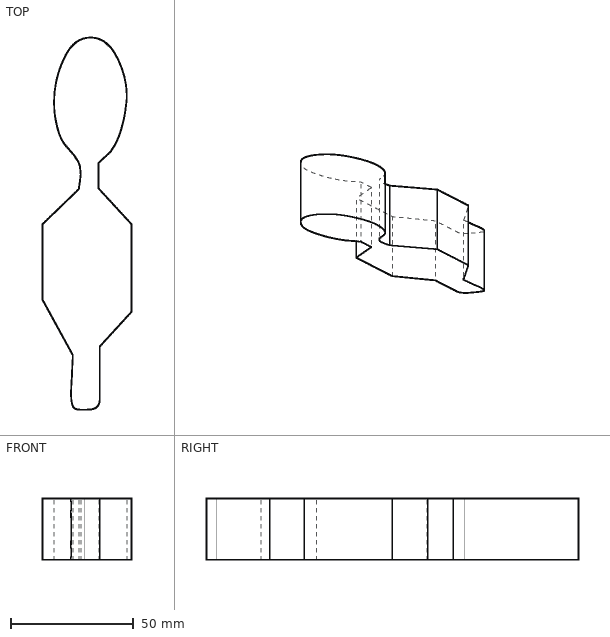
import cadquery as cq

width = 36.2
length = 151.44
thickness = 25.0

half_width = width / 2
head_tip_y = length / 2
tail_end_y = -length / 2

flank_top_y = -0.2
left_flank_bottom_y = -31.0
right_flank_bottom_y = -35.9

neck_left_x = -2.95
neck_right_x = 4.75
neck_left_base = (-3.4, 14.0)
neck_right_base = (neck_right_x, 14.3)
neck_left_points = [(-3.55, 25.1), (neck_left_x, 23.4), (neck_left_x, 16.3)]
neck_right_top = (neck_right_x, 24.7)

head_tip = (1.4, head_tip_y)
head_right_shoulder = (9.6, 29.2)
head_right_points = [(13.05, 35.6), (15.1, 42.9), (16.2, 51.1), (12.5, 67.1), (6.6, 74.3)]
head_left_points = [(-4.0, 74.1), (-9.5, 66.9), (-13.45, 49.0), (-12.3, 39.7), (-9.6, 32.9)]

tail_right_x = 5.2
tail_left_top = (-5.8, -53.5)
tail_right_top = (tail_right_x, -50.0)
tail_right_bottom = (tail_right_x, -71.7)
tail_end = (-1.1, tail_end_y)
tail_left_points = [(-6.15, -63.0), (-6.4, -71.7), (-5.2, -75.0), tail_end]
tail_right_corner = (4.0, -74.6)

UP = (0, 1)
DOWN = (0, -1)
RIGHT = (1, 0)


def add_right_side(outline):
    """Run up the right side, from the tail corner to the head."""
    return (
        outline.lineTo(*tail_right_top)
        .lineTo(half_width, right_flank_bottom_y)
        .lineTo(half_width, flank_top_y)
        .lineTo(*neck_right_base)
        .lineTo(*neck_right_top)
        .lineTo(*head_right_shoulder)
    )


def add_head(outline):
    """Sweep around the head and down the left of the neck in one smooth curve."""
    points = head_right_points + [head_tip] + head_left_points + neck_left_points + [neck_left_base]
    return outline.spline(points, includeCurrent=True)


def add_left_side(outline):
    """Run down the left side, from the neck to the top of the tail."""
    return (
        outline.lineTo(-half_width, flank_top_y)
        .lineTo(-half_width, left_flank_bottom_y)
        .lineTo(*tail_left_top)
    )


def add_tail_end(outline):
    """Close the tail with two curves, left side then right corner, that meet level at its lowest point."""
    to_end = outline.spline(tail_left_points, tangents=[DOWN, RIGHT], includeCurrent=True)
    return to_end.spline(
        [tail_right_corner, tail_right_bottom], tangents=[RIGHT, UP], includeCurrent=True
    )


outline = cq.Workplane("XY").workplane(offset=-thickness / 2).moveTo(*tail_right_bottom)
outline = add_right_side(outline)
outline = add_head(outline)
outline = add_left_side(outline)
outline = add_tail_end(outline)

result = outline.close().extrude(thickness)